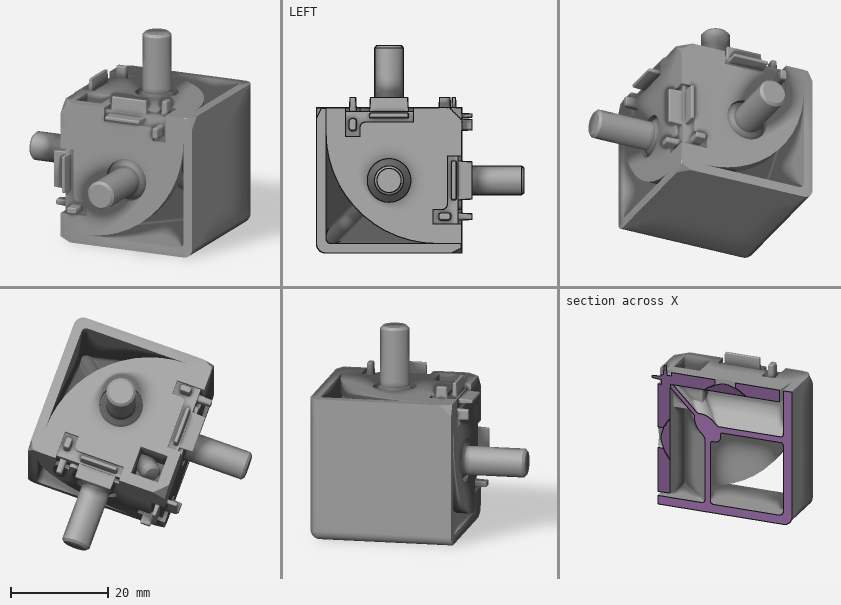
import cadquery as cq
import math

ORIGIN = (0, 0, 0)
DIAGONAL = (1, 1, 1)
WEB_DIRECTION = (1, 1, -2)
SIDES = 3
TOLERANCE = 0.005

cube_half = 15.0
shaft_reach = 27.8

wall = 2.0
cavity_low = wall - cube_half
case_corner_radius = 2.0
case_inner_radius = 1.0
rim_chamfer = 0.15
rim_cut_side = 2.23
rim_cut_height = 1.1
rim_bevel_side = 2.4
rim_bevel_height = 0.6
web_thickness = 1.0
web_fillet = 0.5
rod_diameter = 4.2
rod_chamfer = 0.5
rod_reach = 18.35

shaft_diameter = 6.0
shaft_chamfer = 0.5
opening_diameter = 9.0
collar_diameter = 12.0
collar_rise = 0.25
shaft_radius = shaft_diameter / 2
opening_radius = opening_diameter / 2
collar_radius = collar_diameter / 2
collar_height = collar_radius - shaft_radius

plate = collar_height - collar_rise
cover_inner = cube_half - plate
arc_offset = 5.15
arc_centre = cube_half - arc_offset
arc_radius = arc_centre - cavity_low
arc_middle = arc_centre - arc_radius / math.sqrt(2)
cover_corner_cut = 2.55
draft = 3.0

pocket_side = 5.9
pocket_edge = 2.3
pocket_depth = 7.5
pocket_wall = 1.0
pocket_centre = cube_half - pocket_edge - pocket_side / 2

recess_depth = 0.75
recess_floor = cube_half - recess_depth
recess_width = 3.0
recess_start = -8.95
recess_end = 5.0
recess_leg = 5.9
recess_radius = 1.0
lug_height = 2.9
lug_tip_fillet = 0.2
tab_length = 8.0
tab_thickness = 1.0
tab_radius = 0.25
tab_inset = 1.63
peg_width = 1.5
peg_length = 2.5
peg_radius = 0.5
peg_inset = 3.5


def turned(shape, step):
    """The shape after `step` thirds of a turn about the cube diagonal."""
    return shape.rotate(ORIGIN, DIAGONAL, 360 / SIDES * step)


def on_all_sides(shape):
    """The shape joined with its two copies about the cube diagonal."""
    joined = shape
    for step in range(1, SIDES):
        joined = joined.union(turned(shape, step))
    return joined


def block(low, high):
    """A cube with opposite corners at (low, low, low) and (high, high, high)."""
    side = high - low
    return cq.Workplane("XY").box(side, side, side, centered=False).translate((low, low, low))


def rounded_block(low, high, radius):
    """A cube whose three edges at its low corner are rounded."""
    return block(low, high).edges("(<X and <Y) or (<Y and <Z) or (<Z and <X)").fillet(radius)


def corner_wedge(side_leg, z_leg, z_sign):
    """The tip of the cube corner at +X, +Y and one Z side, as far as the given legs."""
    outline = [(0, 0), (side_leg / math.sqrt(2), 0), (0, z_leg)]
    plane = cq.Plane(
        origin=(cube_half, cube_half, z_sign * cube_half),
        xDir=(-1, -1, 0),
        normal=(z_sign, -z_sign, 0),
    )
    return cq.Workplane(plane).polyline(outline).close().extrude(2 * side_leg, both=True)


def web_foot():
    """The rounded foot of one web, along the bottom of the cavity."""
    half = web_thickness / 2
    swing = web_fillet * (1 - math.sqrt(2) / 2)
    plane = cq.Plane(origin=(cavity_low, cavity_low, cavity_low), xDir=(-1, 1, 0), normal=(1, 1, 0))
    return (
        cq.Workplane(plane)
        .moveTo(half + web_fillet, -wall / 2)
        .lineTo(half + web_fillet, 0)
        .threePointArc((half + swing, swing), (half, web_fillet))
        .lineTo(-half, web_fillet)
        .threePointArc((-half - swing, swing), (-half - web_fillet, 0))
        .lineTo(-half - web_fillet, -wall / 2)
        .close()
        .extrude(math.sqrt(2) * (cover_inner - cavity_low))
    )


def make_star():
    """The rod with its webs, running right along the diagonal, the inside corners rounded."""
    plane = cq.Plane(origin=ORIGIN, xDir=WEB_DIRECTION, normal=DIAGONAL)
    length = 4 * cube_half
    start = cq.Workplane(plane).workplane(offset=-length / 2)
    web = start.center(cube_half, 0).rect(2 * cube_half, web_thickness).extrude(length)
    star = start.circle(rod_diameter / 2).extrude(length).union(on_all_sides(web))
    axis = cq.Vector(DIAGONAL)
    roots = [
        edge
        for edge in star.edges(cq.selectors.ParallelDirSelector(axis)).vals()
        if edge.Center().cross(axis.normalized()).Length < rod_diameter / 2 + TOLERANCE
    ]
    return star.newObject(roots).fillet(web_fillet)


def make_rod():
    """The diagonal rod, from the case corner to its chamfered end in the pocket."""
    plane = cq.Plane(origin=ORIGIN, xDir=WEB_DIRECTION, normal=DIAGONAL)
    start = math.sqrt(3) * cavity_low
    rod = cq.Workplane(plane).workplane(offset=start).circle(rod_diameter / 2).extrude(rod_reach - start)
    end = cq.selectors.DirectionMinMaxSelector(cq.Vector(DIAGONAL))
    return rod.faces(end).chamfer(rod_chamfer).intersect(block(cavity_low - wall / 2, cube_half))


def cut_rim_corners(case):
    """The case with the three outer corners of its rim chamfered and cut off."""
    for axis, place in (("Z", ">X and >Y"), ("X", ">Y and >Z"), ("Y", ">Z and >X")):
        case = case.edges(f"|{axis}").edges(place).chamfer(rim_chamfer)
    cut = corner_wedge(rim_cut_side, rim_cut_height, -1)
    bevel = corner_wedge(rim_bevel_side, rim_bevel_height, -1)
    return case.cut(on_all_sides(cut)).cut(on_all_sides(bevel))


def make_case():
    """The three walls with the rod and its webs, which stop at the inside of the cover."""
    case = rounded_block(-cube_half, cube_half, case_corner_radius)
    case = case.cut(rounded_block(cavity_low, 2 * cube_half, case_inner_radius))
    webs = make_star().union(on_all_sides(web_foot()))
    webs = webs.intersect(block(cavity_low - wall / 2, cover_inner)).cut(pocket_housing())
    return cut_rim_corners(case.union(webs).union(make_rod()))


def make_plate():
    """The +Z plate, a square with one large arc edge."""
    return (
        cq.Workplane("XY", origin=(0, 0, cover_inner))
        .moveTo(cube_half, cube_half)
        .lineTo(cavity_low, cube_half)
        .lineTo(cavity_low, arc_centre)
        .threePointArc((arc_middle, arc_middle), (arc_centre, cavity_low))
        .lineTo(cube_half, cavity_low)
        .close()
        .extrude(plate)
    )


def pocket_housing():
    """The walls and floor around the pocket, before the pocket is cut."""
    side = pocket_side + 2 * pocket_wall
    height = pocket_depth + pocket_wall - plate
    start = cq.Workplane("XY", origin=(pocket_centre, pocket_centre, cover_inner))
    return start.rect(side, side).extrude(-height)


def pocket():
    """The drafted square pocket."""
    start = cq.Workplane("XY", origin=(pocket_centre, pocket_centre, cube_half))
    return start.rect(pocket_side, pocket_side).extrude(-pocket_depth, taper=draft)


def shaft_opening():
    """The hole in the +Z plate: a conical seat for the collar, then a straight opening."""
    return (
        cq.Workplane("XZ")
        .moveTo(0, cover_inner)
        .lineTo(collar_radius, cover_inner)
        .lineTo(opening_radius, cover_inner + collar_radius - opening_radius)
        .lineTo(opening_radius, cube_half)
        .lineTo(0, cube_half)
        .close()
        .revolve(360, ORIGIN, (0, 1, 0))
    )


def across_edge(shape):
    """The shape with its mirror image, which swaps Y and Z."""
    return shape.union(shape.mirror((0, 1, -1), ORIGIN))


def edge_recess():
    """The pair of L-shaped recesses that meet at the edge between +Y and +Z."""
    leg_side = recess_start + recess_width
    inner_side = cube_half - recess_width
    recess = (
        cq.Workplane("XY", origin=(0, 0, recess_floor))
        .moveTo(recess_start, cube_half)
        .lineTo(recess_end, cube_half)
        .lineTo(recess_end, inner_side)
        .lineTo(leg_side, inner_side)
        .lineTo(leg_side, cube_half - recess_leg)
        .lineTo(recess_start, cube_half - recess_leg)
        .close()
        .extrude(recess_depth)
    )
    inner_corner = cq.selectors.NearestToPointSelector(
        (leg_side, inner_side, recess_floor + recess_depth / 2)
    )
    return across_edge(recess.edges("|Z").edges(inner_corner).fillet(recess_radius))


def lug(x, inset, length, width, radius):
    """A drafted upright with rounded corners, standing on the recess floor."""
    return (
        cq.Workplane("XY", origin=(x, cube_half - inset, recess_floor))
        .placeSketch(cq.Sketch().rect(length, width).vertices().fillet(radius))
        .extrude(lug_height, taper=draft)
        .faces(">Z")
        .edges()
        .fillet(lug_tip_fillet)
    )


def make_cover():
    """The three plates with the pocket, shaft openings, edge recesses, tabs and pegs."""
    cover = on_all_sides(make_plate()).union(pocket_housing())
    tip = corner_wedge(cover_corner_cut, cover_corner_cut, 1)
    cover = cover.cut(tip).cut(pocket()).cut(make_rod())
    cover = cover.cut(on_all_sides(shaft_opening())).cut(on_all_sides(edge_recess()))
    tab = lug(0, tab_inset, tab_length, tab_thickness, tab_radius)
    peg = lug(recess_start + recess_width / 2, peg_inset, peg_width, peg_length, peg_radius)
    return cover.union(on_all_sides(across_edge(tab))).union(on_all_sides(across_edge(peg)))


def make_shaft():
    """The +Z shaft: a conical collar, then a pin with a chamfered end."""
    return (
        cq.Workplane("XZ")
        .moveTo(0, cover_inner)
        .lineTo(collar_radius, cover_inner)
        .lineTo(shaft_radius, cover_inner + collar_height)
        .lineTo(shaft_radius, shaft_reach - shaft_chamfer)
        .lineTo(shaft_radius - shaft_chamfer, shaft_reach)
        .lineTo(0, shaft_reach)
        .close()
        .revolve(360, ORIGIN, (0, 1, 0))
    )


case = make_case()
cover = make_cover()
shafts = [turned(make_shaft(), step) for step in range(SIDES)]

bodies = [body.rotate(ORIGIN, (0, 0, 1), 180) for body in (case, cover, *shafts)]
result = cq.Compound.makeCompound([body.val() for body in bodies])